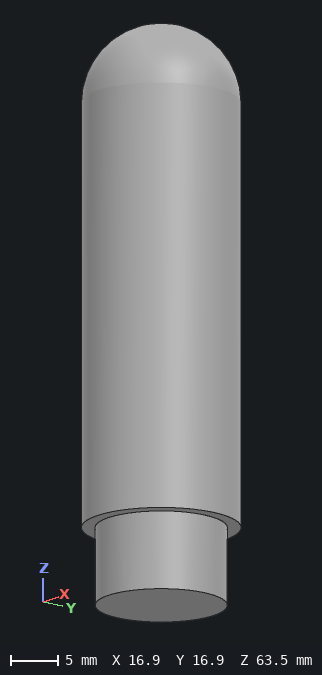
import cadquery as cq

total_height = 63.5
body_diameter = 16.95
spigot_diameter = 14.05
spigot_height = 8.5

body_radius = body_diameter / 2
spigot_radius = spigot_diameter / 2
dome_base = total_height - body_radius
dome_mid = body_radius * 0.5 ** 0.5

half_section = (
    cq.Workplane("XZ")
    .lineTo(spigot_radius, 0)
    .lineTo(spigot_radius, spigot_height)
    .lineTo(body_radius, spigot_height)
    .lineTo(body_radius, dome_base)
    .threePointArc((dome_mid, dome_base + dome_mid), (0, total_height))
    .close()
)

result = half_section.revolve(360, (0, 0, 0), (0, 1, 0))